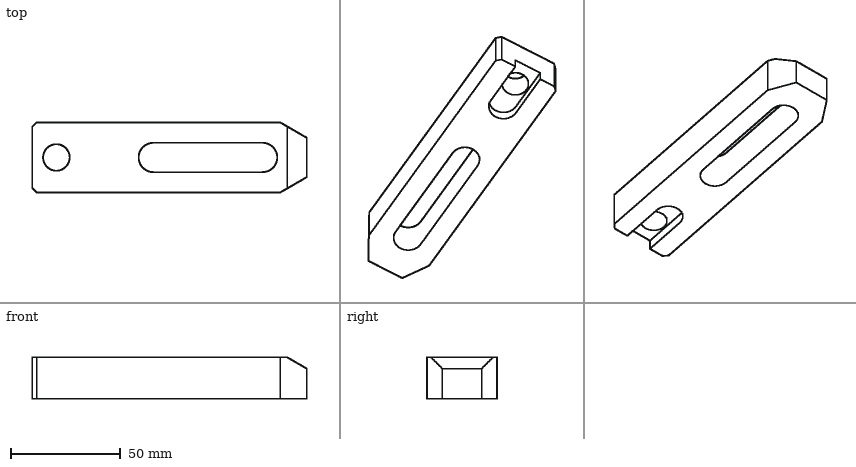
import cadquery as cq
import math

length = 125.0
width = 32.0
height = 19.0
heel_chamfer = 2.0

nose_angle = math.radians(30)
nose_width = 18.0
nose_top_start = 116.0

hole_diameter = 12.0
hole_x = 11.0

slot_width = 13.2
slot_start = 48.5
slot_end = 111.5

groove_depth = 5.2
groove_end = 28.0


def make_bar():
    nose_side_length = (width - nose_width) / 2 / math.tan(nose_angle)
    half_outline = [
        (0, 0),
        (0, width / 2 - heel_chamfer),
        (heel_chamfer, width / 2),
        (length - nose_side_length, width / 2),
        (length, nose_width / 2),
        (length, 0),
    ]
    return cq.Workplane("XY").polyline(half_outline).mirrorX().extrude(height)


def make_nose_bevel():
    bevel_drop = (length - nose_top_start) * math.tan(nose_angle)
    return (
        cq.Workplane("XZ")
        .polyline([(nose_top_start, height), (length, height), (length, height - bevel_drop)])
        .close()
        .extrude(width / 2, both=True)
    )


def make_rounded_slot(start, end, depth):
    """Slot along X with semicircular ends, cut upward from the base."""
    return (
        cq.Workplane("XY")
        .center((start + end) / 2, 0)
        .slot2D(end - start, slot_width)
        .extrude(depth)
    )


hole = cq.Workplane("XY").center(hole_x, 0).circle(hole_diameter / 2).extrude(height)
clamp_slot = make_rounded_slot(slot_start, slot_end, height)
groove = make_rounded_slot(-slot_width, groove_end, groove_depth)

result = make_bar().cut(make_nose_bevel()).cut(hole).cut(clamp_slot).cut(groove)